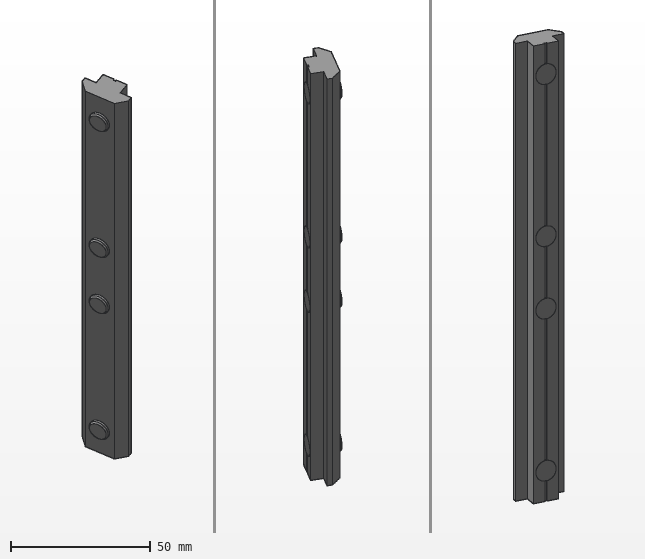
import cadquery as cq

length = 180.0
rail_width = 19.5
rail_depth = 10.6
neck_width = 10.0
neck_depth = 4.9

bevel_width = 3.6
bevel_depth = 3.8

groove_width = 0.9
groove_depth = 0.5

screw_diameter = 8.1
screw_protrusion = 1.5
screw_chamfer = 0.5
outer_screw_height = 78.0
inner_screw_height = 14.2
screw_heights = [
    -outer_screw_height,
    -inner_screw_height,
    inner_screw_height,
    outer_screw_height,
]

screw_length = rail_depth + screw_protrusion
screw_tip_y = -screw_length / 2
front_y = screw_tip_y + screw_protrusion
back_y = front_y + rail_depth
shoulder_y = back_y - neck_depth
groove_floor_y = back_y - groove_depth


def cylinder_along_y(diameter, start_y, height, center_z):
    """Cylinder on the rail's centre line, running from start_y toward +Y."""
    start = cq.Vector(0, start_y, center_z)
    return cq.Workplane(cq.Solid.makeCylinder(diameter / 2, height, start, cq.Vector(0, 1, 0)))


def rail_profile():
    """Closed T outline with a bevelled head and a grooved neck."""
    head_x = rail_width / 2
    neck_x = neck_width / 2
    groove_x = groove_width / 2
    right_half = [
        (head_x - bevel_width, front_y),
        (head_x, front_y + bevel_depth),
        (head_x, shoulder_y),
        (neck_x, shoulder_y),
        (neck_x, back_y),
        (groove_x, back_y),
        (groove_x, groove_floor_y),
    ]
    left_half = [(-x, y) for x, y in reversed(right_half)]
    return cq.Workplane("XY").polyline(right_half + left_half).close()


def make_rail():
    """Extruded bar with one through hole for each set screw."""
    bar = rail_profile().extrude(length / 2, both=True)
    for height in screw_heights:
        bar = bar.cut(cylinder_along_y(screw_diameter, front_y, rail_depth, height))
    return bar.solids()


def make_set_screw(height):
    """Set screw with a chamfered tip, its other end flush with the neck's back."""
    screw = cylinder_along_y(screw_diameter, screw_tip_y, screw_length, height)
    return screw.faces("<Y").chamfer(screw_chamfer).solids()


rail = make_rail()
set_screws = [make_set_screw(height) for height in screw_heights]

result = cq.Compound.makeCompound([rail.val(), *[screw.val() for screw in set_screws]])